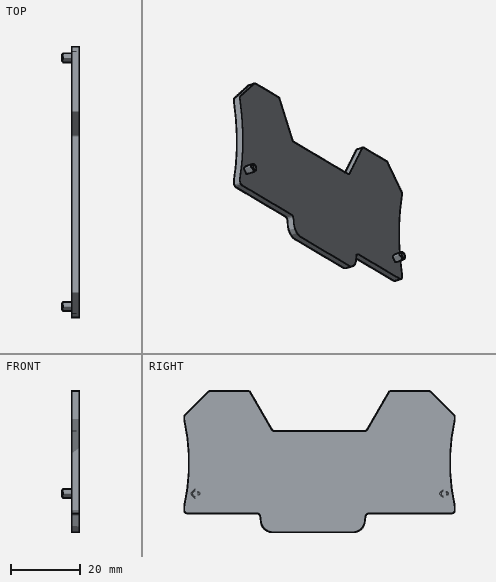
import cadquery as cq
import math

plate_thickness = 2.2
plate_width = 77.6
plate_height = 40.5
bottom_corner_radius = 1.0
edge_break_radius = 0.6

tab_height = 5.4
tab_root_width = 30.4
tab_center_y = -1.9
tab_wall_angle = 7.0
tab_corner_radius = 3.5
tab_root_radius = 1.0

notch_top_width = 40.0
notch_depth = 11.4
notch_flank_angle = 30.0

top_corner_chamfer = 7.15
hollow_depth = 1.4
hollow_height = 25.0
hollow_center_z = 14.5

pin_length = 2.9
pin_side = 2.0
pin_edge_radius = 0.2
pin_tip_radius = 0.8
pin_spacing = 71.2
pin_z = 5.75

half_width = plate_width / 2
top_z = plate_height - tab_height
hollow_bottom_z = hollow_center_z - hollow_height / 2
hollow_top_z = hollow_center_z + hollow_height / 2
chamfer_start_z = top_z - top_corner_chamfer
chamfer_end_y = half_width - top_corner_chamfer
notch_half_top = notch_top_width / 2
notch_floor_z = top_z - notch_depth
notch_half_floor = notch_half_top - notch_depth * math.tan(math.radians(notch_flank_angle))
tab_half_root = tab_root_width / 2
tab_half_tip = tab_half_root - tab_height * math.tan(math.radians(tab_wall_angle))


def round_corner(plate, y, z, radius):
    """Round the plate corner at (y, z)."""
    margin = 0.05
    corner = cq.selectors.BoxSelector(
        (-margin, y - margin, z - margin),
        (plate_thickness + margin, y + margin, z + margin),
    )
    return plate.edges("|X").edges(corner).fillet(radius)


def make_sharp_plate():
    """Plate without rounded corners, drawn counter-clockwise from the tab."""
    hollow_y = half_width - hollow_depth
    outline = (
        cq.Workplane("YZ")
        .moveTo(tab_center_y - tab_half_tip, -tab_height)
        .lineTo(tab_center_y + tab_half_tip, -tab_height)
        .lineTo(tab_center_y + tab_half_root, 0)
        .lineTo(half_width, 0)
        .lineTo(half_width, hollow_bottom_z)
        .threePointArc((hollow_y, hollow_center_z), (half_width, hollow_top_z))
        .lineTo(half_width, chamfer_start_z)
        .lineTo(chamfer_end_y, top_z)
        .lineTo(notch_half_top, top_z)
        .lineTo(notch_half_floor, notch_floor_z)
        .lineTo(-notch_half_floor, notch_floor_z)
        .lineTo(-notch_half_top, top_z)
        .lineTo(-chamfer_end_y, top_z)
        .lineTo(-half_width, chamfer_start_z)
        .lineTo(-half_width, hollow_top_z)
        .threePointArc((-hollow_y, hollow_center_z), (-half_width, hollow_bottom_z))
        .lineTo(-half_width, 0)
        .lineTo(tab_center_y - tab_half_root, 0)
        .close()
    )
    return outline.extrude(plate_thickness)


def make_plate():
    plate = make_sharp_plate()
    lightly_rounded_corners = [
        (half_width, hollow_bottom_z),
        (half_width, hollow_top_z),
        (half_width, chamfer_start_z),
        (chamfer_end_y, top_z),
        (notch_half_top, top_z),
        (notch_half_floor, notch_floor_z),
    ]
    for side in (-1, 1):
        plate = round_corner(plate, tab_center_y + side * tab_half_tip, -tab_height, tab_corner_radius)
        plate = round_corner(plate, tab_center_y + side * tab_half_root, 0, tab_root_radius)
        plate = round_corner(plate, side * half_width, 0, bottom_corner_radius)
        for y, z in lightly_rounded_corners:
            plate = round_corner(plate, side * y, z, edge_break_radius)
    return plate


def make_pin(y):
    """Square pin whose tip is trimmed by a 45 degree cone."""
    square = cq.Workplane("YZ").rect(pin_side, pin_side).extrude(-pin_length)
    square = square.edges("|X").fillet(pin_edge_radius)
    tip_circle = cq.Workplane("YZ", origin=(-pin_length, 0, 0)).circle(pin_tip_radius)
    cone = tip_circle.extrude(pin_length, taper=-45)
    pin = square.intersect(cone)
    return pin.rotate((0, 0, 0), (1, 0, 0), 45).translate((0, y, pin_z))


result = make_plate()
for pin_y in (-pin_spacing / 2, pin_spacing / 2):
    result = result.union(make_pin(pin_y))